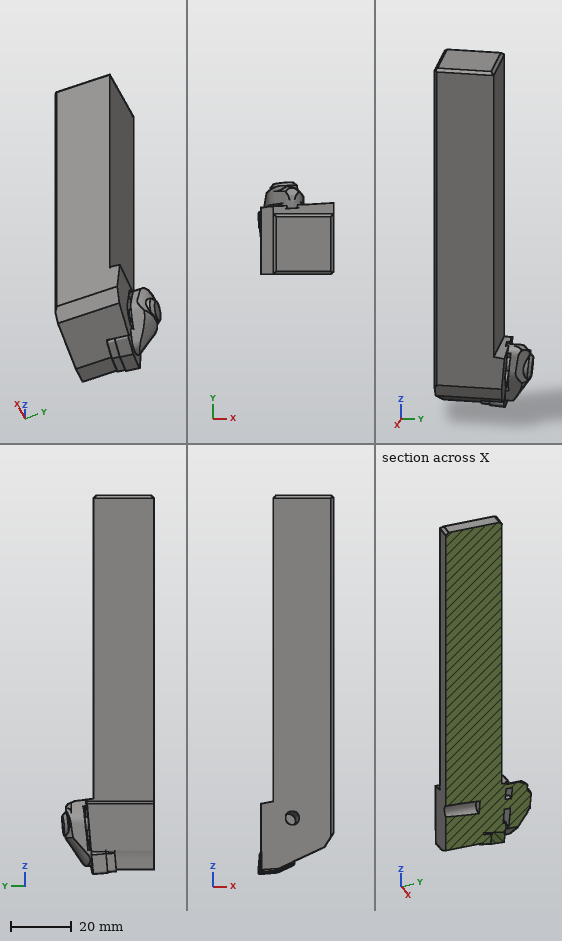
import cadquery as cq
import math

shank_size = 20.0
tool_length = 125.0
tip_reach = 5.0
edge_chamfer = 1.0

head_left = -4.05
shoulder_top = 24.1
shoulder_low = 23.3
relief_left = -3.8
relief_start = 7.8
relief_end = 5.0
heel_left_height = 1.55
heel_bend = (1.9, 1.95)
heel_corner = (16.9, 8.95)
right_side_start = 13.8
step_height = 25.0
step_fall = 0.13
head_rise = 6.0

rake_slope_x = 0.06
rake_slope_z = 0.085

inscribed_radius = 9.525 / 2
tip_angle = 80
insert_thickness = 4.76
nose_radius = 0.8
shim_thickness = 2.9
shim_inset = 0.25

clamp_nose_center = (0.4, 6.2)
clamp_nose_radius = 3.5
clamp_middle_center = (4.2, 16.0)
clamp_middle_radius = 5.8
clamp_tail_center = (6.2, 21.2)
clamp_tail_radius = 3.3
clamp_shoulder = 25.5
clamp_crown = 29.3
slope_start = 12.0
slope_fall = 0.68
tail_bevel = [(26.2, 24.2), (28.4, 23.2), (29.2, 22.2)]
tail_edge_bevel = 2.0
tail_recess_depth = 1.0
tail_recess_clearance = 0.6
clamp_gap = 1.0
gap_bottom = 8.0
gap_top = 22.5

screw_start = (6.3, 18.6)
screw_lean_x = 0.1
screw_lean_z = 0.085
hole_diameter = 4.5
hole_depth = 12.0
screw_shank_length = 15.0
screw_head_diameter = 9.0
screw_head_base = 26.0
screw_head_top = 30.22
screw_head_bevel = 1.2

big = 200.0
rake_plane = cq.Plane(
    origin=(-tip_reach, shank_size, 0),
    xDir=(1, rake_slope_x, 0),
    normal=(rake_slope_x, -1, rake_slope_z),
)
screw_plane = cq.Plane(
    origin=(screw_start[0], 0, screw_start[1]),
    xDir=(1, screw_lean_x, 0),
    normal=(-screw_lean_x, 1, -screw_lean_z),
)


def extrude_along_y(outline, start, end):
    """Extrude an XZ outline between two Y positions."""
    return outline.extrude(start - end).translate((0, start, 0))


def head_outline():
    return (
        cq.Workplane("XZ")
        .moveTo(shank_size, step_height)
        .lineTo(shank_size, right_side_start)
        .lineTo(*heel_corner)
        .lineTo(*heel_bend)
        .lineTo(relief_left, heel_left_height)
        .lineTo(relief_left, relief_end)
        .tangentArcPoint((head_left, relief_start), relative=False)
        .lineTo(head_left, shoulder_low)
        .lineTo(0, shoulder_top)
        .lineTo(0, step_height)
        .close()
    )


def above_rake(offset=0.0):
    """Everything on the open side of the rake plane, raised by an offset."""
    return cq.Workplane(rake_plane).workplane(offset=-offset).rect(big, big).extrude(-big)


def trigon(inset, top, bottom):
    """Trigon prism between two depths below the rake plane, its three tips rounded."""
    half_tip = math.radians(tip_angle / 2)
    half_blunt = math.radians((240 - tip_angle) / 2)
    sharp_radius = inscribed_radius / math.sin(half_tip)
    blunt_radius = inscribed_radius / math.sin(half_blunt)
    nose_to_center = sharp_radius - nose_radius / math.sin(half_tip)
    center = nose_radius + nose_to_center * math.cos(math.pi / 4)
    scale = 1 - inset / inscribed_radius
    prism = cq.Workplane(rake_plane).workplane(offset=top).center(center, center)
    points = []
    for corner in range(6):
        radius = scale * (blunt_radius if corner % 2 else sharp_radius)
        angle = math.radians(225 + 60 * corner)
        points.append((radius * math.cos(angle), radius * math.sin(angle)))
    prism = prism.polyline(points).close().extrude(bottom - top)

    def is_tip(edge):
        place = rake_plane.toLocalCoords(edge.Center())
        distance = math.hypot(place.x - center, place.y - center)
        return distance > scale * (sharp_radius + blunt_radius) / 2

    side_edges = prism.edges(cq.selectors.ParallelDirSelector(rake_plane.zDir)).vals()
    return prism.newObject([edge for edge in side_edges if is_tip(edge)]).fillet(nose_radius)


def tapered_finger(start, start_radius, end, end_radius):
    """Prism along Y of two circles joined by their common tangents."""
    dx = end[0] - start[0]
    dz = end[1] - start[1]
    heading = math.atan2(dz, dx)
    spread = math.acos((start_radius - end_radius) / math.hypot(dx, dz))
    left = heading + spread
    right = heading - spread

    def rim(center, radius, angle):
        return (center[0] + radius * math.cos(angle), center[1] + radius * math.sin(angle))

    outline = (
        cq.Workplane("XZ")
        .moveTo(*rim(start, start_radius, left))
        .threePointArc(rim(start, start_radius, heading + math.pi), rim(start, start_radius, right))
        .lineTo(*rim(end, end_radius, right))
        .threePointArc(rim(end, end_radius, heading), rim(end, end_radius, left))
        .close()
    )
    return extrude_along_y(outline, 0, clamp_crown)


def clamp_back():
    """Arched envelope of the clamp: level at the screw, falling toward the nose."""
    left = clamp_nose_center[0] - clamp_nose_radius
    right = clamp_middle_center[0] + clamp_middle_radius
    arch = (
        cq.Workplane("XY", origin=(0, 0, slope_start))
        .moveTo(left, 0)
        .lineTo(left, clamp_shoulder)
        .threePointArc(((left + right) / 2, clamp_crown), (right, clamp_shoulder))
        .lineTo(right, 0)
        .close()
        .wire()
    )
    falling = cq.Vector(0, -slope_fall, -1) * slope_start
    nose_part = cq.Solid.extrudeLinear(arch.val(), [], falling)
    bevel = (
        cq.Workplane("YZ")
        .polyline([(0, 0), (0, step_height), (shank_size, step_height), *tail_bevel, (tail_bevel[-1][0], 0)])
        .close()
        .extrude(big, both=True)
    )
    level_part = arch.toPending().extrude(step_height - slope_start).intersect(bevel)
    return level_part.union(cq.Workplane(nose_part))


def clamp_tail(clearance=0.0):
    """Full-depth tail of the clamp, optionally grown all round."""
    return tapered_finger(
        clamp_middle_center, clamp_middle_radius + clearance,
        clamp_tail_center, clamp_tail_radius + clearance,
    )


def clamp():
    nose = tapered_finger(
        clamp_nose_center, clamp_nose_radius, clamp_middle_center, clamp_middle_radius
    )
    nose = nose.intersect(above_rake())
    tail = clamp_tail().faces(">Y").chamfer(tail_edge_bevel)
    tail = tail.intersect(above_rake(-tail_recess_depth))
    gap = (
        cq.Workplane("XY")
        .box(big, big, gap_top - gap_bottom, centered=(True, True, False))
        .translate((0, 0, gap_bottom))
        .cut(above_rake(clamp_gap))
    )
    return nose.union(tail).intersect(clamp_back()).cut(gap)


def screw():
    """Clamp screw: a shank bridging the gap and a beveled head on the clamp's back."""
    stem = cq.Workplane(screw_plane).workplane(offset=hole_depth)
    stem = stem.circle(hole_diameter / 2).extrude(screw_shank_length)
    head = (
        cq.Workplane(screw_plane)
        .workplane(offset=screw_head_base)
        .circle(screw_head_diameter / 2)
        .extrude(screw_head_top - screw_head_base)
        .faces(cq.selectors.DirectionMinMaxSelector(screw_plane.zDir, True))
        .chamfer(screw_head_bevel)
    )
    return stem.union(head)


def shank():
    bar = cq.Workplane("XY", origin=(0, 0, step_height))
    bar = bar.rect(shank_size, shank_size, centered=False).extrude(tool_length - step_height)
    return bar.faces(">Z").chamfer(edge_chamfer)


def holder_body():
    """Shank and head, before the insert seat, clamp and screw."""
    step = (
        cq.Workplane("YZ")
        .moveTo(0, 0)
        .lineTo(0, step_height)
        .lineTo(shank_size, step_height)
        .lineTo(shank_size + head_rise, step_height - step_fall * head_rise)
        .lineTo(shank_size + head_rise, 0)
        .close()
        .extrude(big, both=True)
    )
    head = extrude_along_y(head_outline(), 0, shank_size + head_rise).intersect(step)
    recess = clamp_tail(tail_recess_clearance).intersect(above_rake(-tail_recess_depth))
    head = head.cut(above_rake()).cut(recess)
    corner = (
        cq.Workplane("XY")
        .polyline([(shank_size - edge_chamfer, 0), (shank_size, 0), (shank_size, edge_chamfer)])
        .close()
        .extrude(tool_length)
    )
    return shank().union(head).cut(corner)


def screw_hole():
    overrun = 1.0
    hole = cq.Workplane(screw_plane).workplane(offset=-overrun)
    return hole.circle(hole_diameter / 2).extrude(hole_depth + overrun)


seat_depth = insert_thickness + shim_thickness
insert = trigon(inset=0, top=0, bottom=insert_thickness)

seat = trigon(inset=0, top=0, bottom=seat_depth)
shim = trigon(inset=shim_inset, top=insert_thickness, bottom=seat_depth)
holder = holder_body().cut(seat).union(shim).union(clamp()).union(screw())
holder = holder.cut(screw_hole()).cut(insert)

result = cq.Compound.makeCompound([holder.solids().val(), insert.solids().val()])